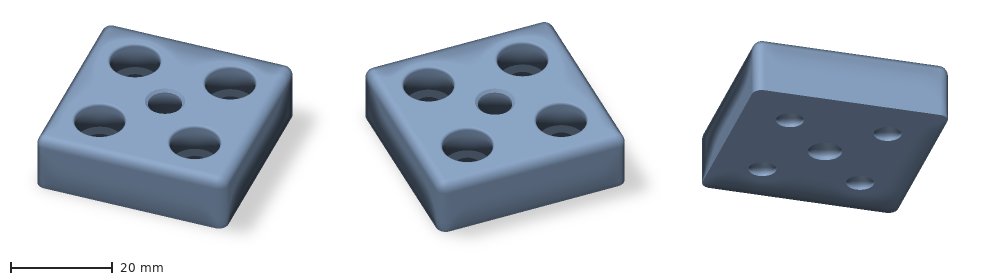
import cadquery as cq

side = 40.0
height = 12.0
edge_radius = 2.0

screw_spacing = side / 2
screw_hole_diameter = 5.5
counterbore_diameter = 10.0
counterbore_depth = 5.7
counterbore_rim_radius = 0.5

center_hole_diameter = 6.8
center_hole_chamfer = 0.55
center_rim_diameter = center_hole_diameter + 2 * center_hole_chamfer
center_rim_angle = 90


def rounded_block():
    """Square block standing on Z = 0, rounded on its vertical and top edges."""
    block = cq.Workplane("XY").box(side, side, height, centered=(True, True, False))
    return block.edges("|Z or >Z").fillet(edge_radius)


def add_screw_holes(block):
    """Cut the four counterbored holes and round their upper rims."""
    drilled = (
        block.faces(">Z")
        .workplane(origin=(0, 0, height))
        .rarray(screw_spacing, screw_spacing, 2, 2)
        .cboreHole(screw_hole_diameter, counterbore_diameter, counterbore_depth)
    )
    return drilled.faces(">Z").edges("%CIRCLE").fillet(counterbore_rim_radius)


def add_center_hole(block):
    """Cut the through hole in the middle of the top face."""
    return (
        block.faces(">Z")
        .workplane(origin=(0, 0, height))
        .cskHole(center_hole_diameter, center_rim_diameter, center_rim_angle)
    )


result = add_center_hole(add_screw_holes(rounded_block())).solids()